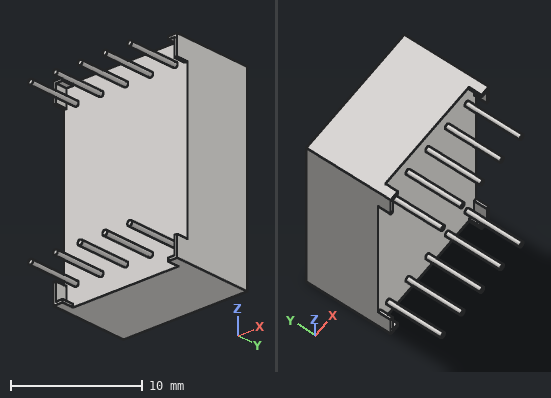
import cadquery as cq

width = 12.7
height = 19.05
overall_depth = 12.0

housing_depth = 8.0
foot_length = 1.2
foot_wall = 0.29
foot_span_x = 0.95
foot_span_z = 2.02

pin_diameter = 0.5
pin_rows = 2
pins_per_row = 5
pin_pitch = width / pins_per_row
row_spacing = 15.24
pin_overlap = 0.2

block_depth = housing_depth - foot_length
pin_length = overall_depth - block_depth


def make_block():
    return cq.Workplane("XY").box(width, block_depth, height, centered=(True, False, True))


def make_foot(side_x, side_z):
    """L-shaped foot in the corner given by the signs side_x and side_z."""
    corner_x = side_x * width / 2
    corner_z = side_z * height / 2
    end_x = corner_x - side_x * foot_span_x
    end_z = corner_z - side_z * foot_span_z
    inner_x = corner_x - side_x * foot_wall
    inner_z = corner_z - side_z * foot_wall
    outline = [
        (corner_x, corner_z),
        (end_x, corner_z),
        (end_x, inner_z),
        (inner_x, inner_z),
        (inner_x, end_z),
        (corner_x, end_z),
    ]
    return cq.Workplane("XZ").polyline(outline).close().extrude(foot_length)


def make_pins():
    """Rows of round pins, centred on the pin face."""
    return (
        cq.Workplane("XZ", origin=(0, pin_overlap, 0))
        .rarray(pin_pitch, row_spacing, pins_per_row, pin_rows)
        .circle(pin_diameter / 2)
        .extrude(pin_overlap + pin_length)
    )


result = make_block()
for side_x in (-1, 1):
    for side_z in (-1, 1):
        result = result.union(make_foot(side_x, side_z))
result = result.union(make_pins())